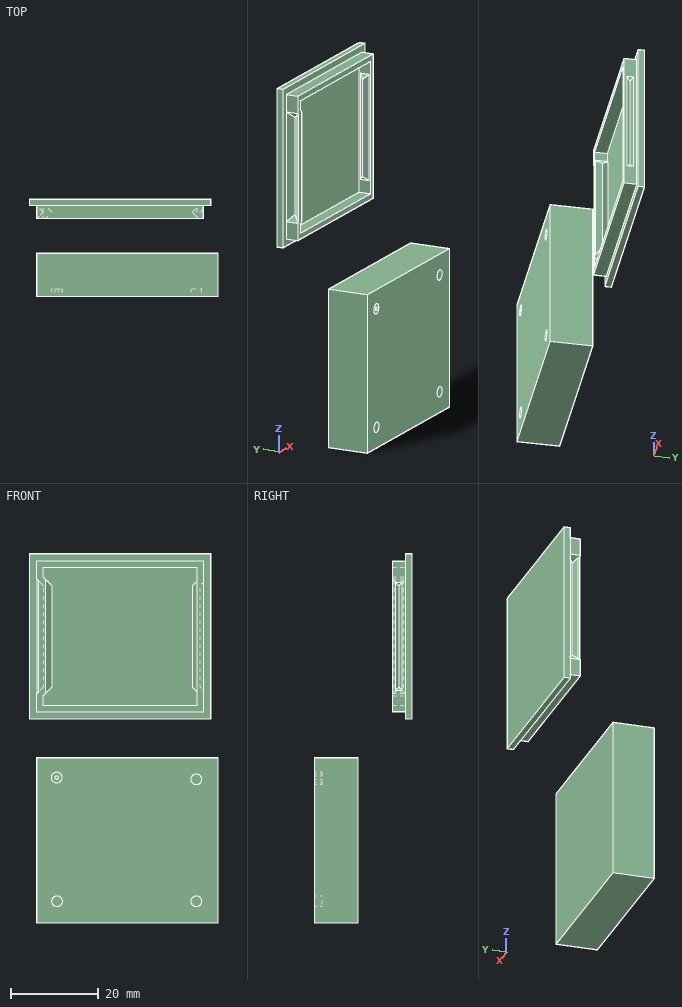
import cadquery as cq

WIDTH = 41.7
HEIGHT = 38.0

TOTAL_WIDTH = 43.4
TOTAL_DEPTH = 22.4
TOTAL_HEIGHT = 84.9

PLATE_THICKNESS = 1.5
LIP_DEPTH = 3.0
LIP_WIDTH = 38.3
LIP_INSET = (WIDTH - LIP_WIDTH) / 2
LIP_WALL = 1.45
LIP_HEIGHT = HEIGHT - 2 * LIP_INSET
PLATE_FRONT = TOTAL_DEPTH - PLATE_THICKNESS
LIP_FRONT = PLATE_FRONT - LIP_DEPTH
LID_CENTER_X = WIDTH / 2
LID_CENTER_Z = TOTAL_HEIGHT - HEIGHT / 2

FOLD_CREST_LENGTH = 23.25
FOLD_CREST_Y = PLATE_FRONT - LIP_DEPTH / 2
LEFT_GROOVE_DEPTH = 1.5
LEFT_GROOVE_LAND = 0.4
LEFT_RIDGE_DEPTH = 2.0
LEFT_RIDGE_LAND = 0.6
RIGHT_GROOVE_DEPTH = 0.8
RIGHT_RIDGE_DEPTH = 1.1

CASE_DEPTH = 10.0
CASE_LEFT = TOTAL_WIDTH - WIDTH

INSERT_DIAMETER = 2.5
INSERT_LENGTH = 1.7
INSERT_EDGE_X = 4.7
INSERT_PITCH_X = 32.0
INSERT_EDGE_Z = 5.0
CORE_DIAMETER = 0.8
RING_EDGE = 4.6

LEFT_X = CASE_LEFT + INSERT_EDGE_X
RIGHT_X = LEFT_X + INSERT_PITCH_X
LOW_Z = INSERT_EDGE_Z
HIGH_Z = HEIGHT - INSERT_EDGE_Z
PLUG_CENTERS = [(LEFT_X, LOW_Z), (RIGHT_X, LOW_Z), (RIGHT_X, HIGH_Z)]
RING_CENTER = (CASE_LEFT + RING_EDGE, HEIGHT - RING_EDGE)


def block(width, depth, height, center_x, front_y, center_z):
    """Box placed by its front face."""
    return cq.Workplane("XY").box(width, depth, height).translate((center_x, front_y + depth / 2, center_z))


def fold_wedge(wall_x, inward, crest_depth, land_depth=0):
    """V wedge rising inward from a wall plane, its flanks and ends sloped at 45 degrees."""
    crest_x = wall_x + inward * crest_depth
    land_x = wall_x + inward * land_depth
    flank_run = crest_depth - land_depth
    half_length = FOLD_CREST_LENGTH / 2 + crest_depth
    profile = [(wall_x, FOLD_CREST_Y + crest_depth), (crest_x, FOLD_CREST_Y), (land_x, FOLD_CREST_Y - flank_run)]
    if land_depth > 0:
        profile += [(land_x, LIP_FRONT), (wall_x, LIP_FRONT)]
    wedge = (
        cq.Workplane("XY", origin=(0, 0, LID_CENTER_Z))
        .polyline(profile)
        .close()
        .extrude(half_length, both=True)
    )
    half_crest = FOLD_CREST_LENGTH / 2
    end_trim = (
        cq.Workplane("XZ", origin=(0, PLATE_FRONT, LID_CENTER_Z))
        .polyline(
            [(wall_x, -half_length), (crest_x, -half_crest), (crest_x, half_crest), (wall_x, half_length)]
        )
        .close()
        .extrude(LIP_DEPTH)
    )
    return wedge.intersect(end_trim)


def make_lid():
    plate = block(WIDTH, PLATE_THICKNESS, HEIGHT, LID_CENTER_X, PLATE_FRONT, LID_CENTER_Z)
    lip = block(LIP_WIDTH, LIP_DEPTH, LIP_HEIGHT, LID_CENTER_X, LIP_FRONT, LID_CENTER_Z)
    opening = block(
        LIP_WIDTH - 2 * LIP_WALL, LIP_DEPTH, LIP_HEIGHT - 2 * LIP_WALL, LID_CENTER_X, LIP_FRONT, LID_CENTER_Z
    )
    lid = plate.union(lip.cut(opening))
    left_wall = LIP_INSET
    right_wall = WIDTH - LIP_INSET
    lid = lid.union(fold_wedge(left_wall + LIP_WALL, 1, LEFT_RIDGE_DEPTH, LEFT_RIDGE_LAND))
    lid = lid.union(fold_wedge(right_wall - LIP_WALL, -1, RIGHT_RIDGE_DEPTH))
    lid = lid.cut(fold_wedge(left_wall, 1, LEFT_GROOVE_DEPTH, LEFT_GROOVE_LAND))
    return lid.cut(fold_wedge(right_wall, -1, RIGHT_GROOVE_DEPTH))


def make_cylinder(center, diameter):
    """Cylinder running into the case from its front face."""
    x, z = center
    return cq.Workplane("XZ", origin=(x, 0, z)).circle(diameter / 2).extrude(-INSERT_LENGTH)


def make_plug(center):
    return make_cylinder(center, INSERT_DIAMETER)


def make_core():
    return make_cylinder(RING_CENTER, CORE_DIAMETER)


def make_ring():
    return make_cylinder(RING_CENTER, INSERT_DIAMETER).cut(make_core())


def make_case():
    case = block(WIDTH, CASE_DEPTH, HEIGHT, CASE_LEFT + WIDTH / 2, 0, HEIGHT / 2)
    for center in [*PLUG_CENTERS, RING_CENTER]:
        case = case.cut(make_cylinder(center, INSERT_DIAMETER))
    return case


lid = make_lid()
case = make_case()
ring = make_ring()
core = make_core()
plugs = [make_plug(center) for center in PLUG_CENTERS]

result = cq.Compound.makeCompound(
    [lid.val(), case.val(), ring.val(), core.val(), *[plug.val() for plug in plugs]]
)